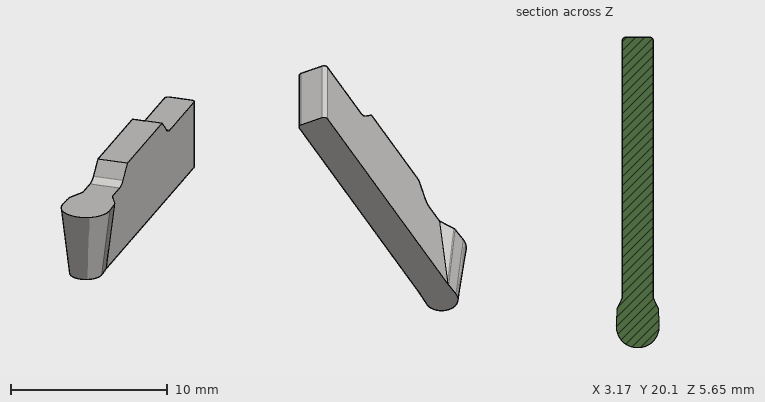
import cadquery as cq
import math

total_length = 20.05
shank_width = 2.0
seat_height = 4.55
crest_height = 5.65
rear_corner_radius = 0.25

crest_front = 6.80
crest_rear = 13.55
ramp_angle = 43.5
ramp_blend_radius = 0.95

nose_width = 3.17
flank_angle = 2.5
relief_start = 2.79
neck = 3.87
draft_angle = 6.7
relief_blend_radius = 0.3

nose_radius = nose_width / 2
half_shank = shank_width / 2


def make_shank():
    """Long blade with a raised crest and rounded rear corners."""
    ramp_length = (crest_height - seat_height) / math.tan(math.radians(ramp_angle))
    ramp_foot_front = crest_front - ramp_length
    ramp_foot_rear = crest_rear + ramp_length
    front_end = nose_radius
    profile = [
        (front_end, 0),
        (total_length, 0),
        (total_length, seat_height),
        (ramp_foot_rear, seat_height),
        (crest_rear, crest_height),
        (crest_front, crest_height),
        (ramp_foot_front, seat_height),
        (front_end, seat_height),
    ]
    shank = cq.Workplane("YZ").polyline(profile).close().extrude(half_shank, both=True)
    shank = shank.edges("|Z and >Y").fillet(rear_corner_radius)
    for foot in (ramp_foot_front, ramp_foot_rear):
        edge = cq.selectors.NearestToPointSelector((0, foot, seat_height))
        shank = shank.edges(edge).fillet(ramp_blend_radius)
    return shank


def make_nose():
    """Drafted nose, drawn on the top face and narrowing towards the underside."""
    flank = math.radians(flank_angle)
    tangent_x = nose_radius * math.cos(flank)
    tangent_y = nose_radius * (1 + math.sin(flank))
    corner_x = tangent_x - (relief_start - tangent_y) * math.tan(flank)
    apex_y = neck + half_shank * (neck - relief_start) / (corner_x - half_shank)
    nose = (
        cq.Workplane("XY", origin=(0, 0, seat_height))
        .moveTo(-tangent_x, tangent_y)
        .threePointArc((0, 0), (tangent_x, tangent_y))
        .lineTo(corner_x, relief_start)
        .lineTo(0, apex_y)
        .lineTo(-corner_x, relief_start)
        .close()
        .extrude(-seat_height, taper=draft_angle)
    )
    for side in (-1, 1):
        edge = cq.selectors.NearestToPointSelector((side * corner_x, relief_start, seat_height / 2))
        nose = nose.edges(edge).fillet(relief_blend_radius)
    return nose


result = make_shank().union(make_nose())